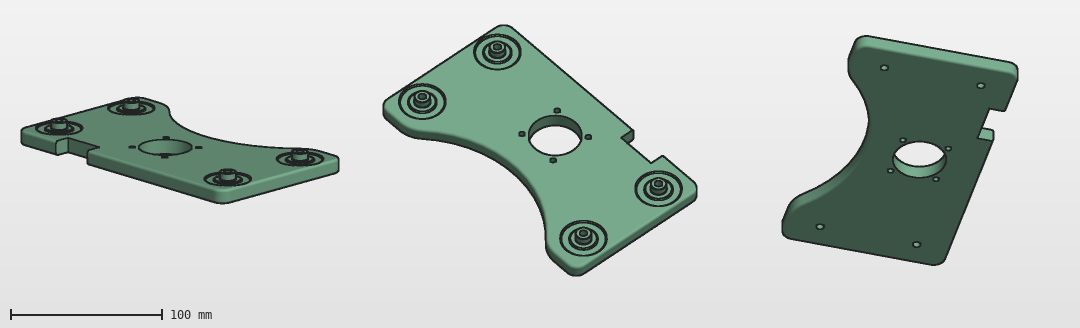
import cadquery as cq
import math

plate_length = 196.0
plate_width = 111.1
plate_thickness = 10.0
corner_radius = 8.0
edge_radius = 2.0

recess_radius = 88.2
shoulder_radius = 22.0
recess_depth = 31.2

notch_width = 29.8
notch_depth = 11.0
notch_center_x = -45.0

opening_diameter = 35.0
opening_center_y = -13.3
screw_hole_diameter = 4.0
screw_hole_spacing = 31.0

boss_spacing_x = 160.3
boss_spacing_y = 65.9
boss_center_y = -0.4
total_height = 15.0
boss_diameter = 10.5
boss_top_diameter = 10.0
boss_bevel = (boss_diameter - boss_top_diameter) / 2
boss_hole_diameter = 5.0
groove_outer_radius = 15.5
groove_inner_radius = 8.6
groove_depth = 0.8
groove_wall_run = 1.0

half_length = plate_length / 2
half_width = plate_width / 2


def make_plate():
    """Rounded plate with the curved recess and rounded top and bottom rims."""
    recess_center_y = half_width - recess_depth + recess_radius
    shoulder_center_y = half_width - shoulder_radius
    center_distance = recess_radius + shoulder_radius
    rise = recess_center_y - shoulder_center_y
    shoulder_x = math.sqrt(center_distance**2 - rise**2)
    blend_angle = math.atan2(shoulder_x, rise)

    def shoulder_point(side, angle):
        x = shoulder_x - shoulder_radius * math.sin(angle)
        return (side * x, shoulder_center_y + shoulder_radius * math.cos(angle))

    outline = (
        cq.Workplane("XY")
        .moveTo(-half_length, -half_width)
        .lineTo(half_length, -half_width)
        .lineTo(half_length, half_width)
        .lineTo(shoulder_x, half_width)
        .threePointArc(shoulder_point(1, blend_angle / 2), shoulder_point(1, blend_angle))
        .threePointArc((0, half_width - recess_depth), shoulder_point(-1, blend_angle))
        .threePointArc(shoulder_point(-1, blend_angle / 2), shoulder_point(-1, 0))
        .lineTo(-half_length, half_width)
        .close()
    )
    plate = outline.extrude(plate_thickness)
    plate = plate.edges("|Z and (<X or >X)").fillet(corner_radius)
    return plate.faces("<Z or >Z").edges().fillet(edge_radius)


def make_notch():
    return (
        cq.Workplane("XY")
        .center(notch_center_x, -half_width)
        .rect(notch_width, 2 * notch_depth)
        .extrude(plate_thickness)
    )


def make_groove():
    """Ring cutter around the Z axis, narrower at the groove floor."""
    floor_z = plate_thickness - groove_depth
    return (
        cq.Workplane("XZ")
        .moveTo(groove_inner_radius, plate_thickness)
        .lineTo(groove_inner_radius + groove_wall_run, floor_z)
        .lineTo(groove_outer_radius - groove_wall_run, floor_z)
        .lineTo(groove_outer_radius, plate_thickness)
        .close()
        .revolve(360, (0, 0, 0), (0, 1, 0))
    )


def make_boss():
    """Round boss around the Z axis, beveled outward at its foot and inward at its rim."""
    radius = boss_diameter / 2
    return (
        cq.Workplane("XZ")
        .moveTo(0, plate_thickness)
        .lineTo(radius + boss_bevel, plate_thickness)
        .lineTo(radius, plate_thickness + boss_bevel)
        .lineTo(radius, total_height - boss_bevel)
        .lineTo(boss_top_diameter / 2, total_height)
        .lineTo(0, total_height)
        .close()
        .revolve(360, (0, 0, 0), (0, 1, 0))
    )


def make_hole(diameter):
    return cq.Workplane("XY").circle(diameter / 2).extrude(total_height)


def corner_points(spacing_x, spacing_y, center_y):
    return [
        (side_x * spacing_x / 2, center_y + side_y * spacing_y / 2, 0)
        for side_x in (-1, 1)
        for side_y in (-1, 1)
    ]


result = make_plate().cut(make_notch())
result = result.cut(make_hole(opening_diameter).translate((0, opening_center_y, 0)))

for point in corner_points(screw_hole_spacing, screw_hole_spacing, opening_center_y):
    result = result.cut(make_hole(screw_hole_diameter).translate(point))

for point in corner_points(boss_spacing_x, boss_spacing_y, boss_center_y):
    result = result.cut(make_groove().translate(point))
    result = result.union(make_boss().translate(point))
    result = result.cut(make_hole(boss_hole_diameter).translate(point))